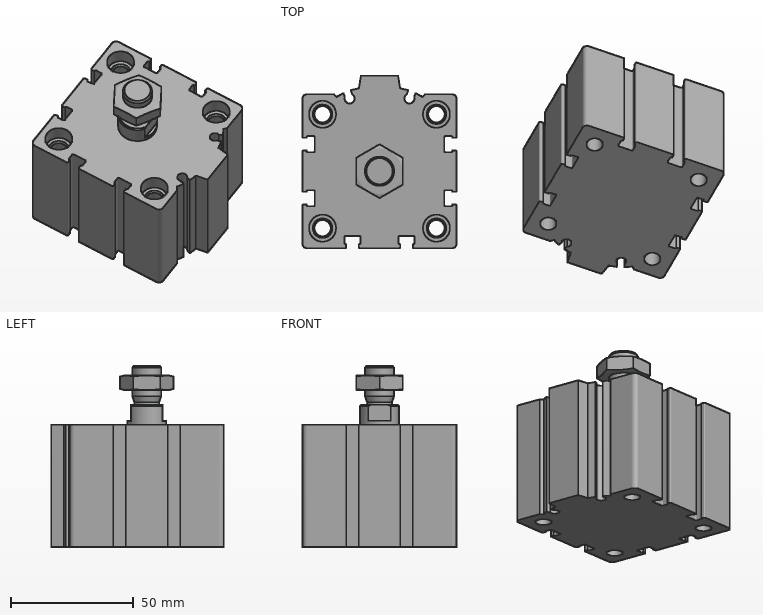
import cadquery as cq
import math

HOUSING_WIDTH = 63.0
HOUSING_HEIGHT = 50.0
CORNER_RADIUS = 2.0
HALF_WIDTH = HOUSING_WIDTH / 2

RIB_REACH = 70.5 - HALF_WIDTH
RIB_TOP_HALF = 7.6
RIB_FOOT = (8.4, 33.9)
SHELF_INNER = (11.85, 33.1)
SHELF_OUTER = (14.7, 31.9)
SHELF_END = (16.95, 30.7)
VALLEY = (17.5, 30.3)

SENSOR_CENTRE = (12.2, 29.7)
SENSOR_DIAMETER = 4.0
SENSOR_MOUTH_WIDTH = 3.1
SENSOR_MOUTH_LENGTH = 4.45
SENSOR_TILT = 20

SLOT_OFFSET = 11.0
SLOT_MOUTH_WIDTH = 5.1
SLOT_INNER_WIDTH = 6.5
SLOT_DEPTH = 5.0
SLOT_LIP = 1.8
SLOT_RADIUS = 0.45

HOLE_SPACING = 46.5
HOLE_DIAMETER = 6.65
COUNTERBORE_DIAMETER = 11.0
COUNTERBORE_DEPTH = 6.7
COUNTERSINK_DIAMETER = 8.0

ROD_DIAMETER = 16.0
ROD_SHOULDER_HEIGHT = 8.0
ROD_CHAMFER = 0.5
ROD_TOP = 74 - HOUSING_HEIGHT
FLAT_SPACING = 13.0
FLAT_START = 1.5
NECK_DIAMETER = 10.2
NECK_FILLET = 0.5
NECK_LENGTH = 0.6
RUNOUT_HEIGHT = 2.5
THREAD_DIAMETER = 12.0
THREAD_END_DIAMETER = 10.65
THREAD_CHAMFER_HEIGHT = 0.9

NUT_ACROSS_FLATS = 19.0
NUT_HEIGHT = 6.0
NUT_BASE = 64.1
NUT_FACE_DIAMETER = 18.5
NUT_CHAMFER_ANGLE = 15


def housing_blank():
    top_right = [
        (RIB_TOP_HALF, RIB_REACH),
        RIB_FOOT,
        SHELF_INNER,
        SHELF_OUTER,
        SHELF_END,
        VALLEY,
        (VALLEY[0] + HALF_WIDTH - VALLEY[1], HALF_WIDTH),
        (HALF_WIDTH, HALF_WIDTH),
        (HALF_WIDTH, -HALF_WIDTH),
    ]
    top_left = [(-x, y) for x, y in reversed(top_right)]
    blank = cq.Workplane("XY").polyline(top_right + top_left).close().extrude(HOUSING_HEIGHT)
    return blank.edges("|Z and (>X or <X)").fillet(CORNER_RADIUS)


def sensor_slot():
    circle = cq.Workplane("XY").circle(SENSOR_DIAMETER / 2).extrude(HOUSING_HEIGHT)
    mouth = cq.Workplane("XY").rect(SENSOR_MOUTH_WIDTH, SENSOR_MOUTH_LENGTH).extrude(HOUSING_HEIGHT)
    slot = circle.union(mouth.translate((0, SENSOR_MOUTH_LENGTH / 2, 0)))
    return slot.rotate((0, 0, 0), (0, 0, 1), -SENSOR_TILT).translate((*SENSOR_CENTRE, 0))


def t_slot():
    mouth = SLOT_MOUTH_WIDTH / 2
    inner = SLOT_INNER_WIDTH / 2
    half_section = (
        cq.Workplane("XY")
        .lineTo(mouth + SLOT_RADIUS, 0)
        .radiusArc((mouth, SLOT_RADIUS), SLOT_RADIUS)
        .lineTo(mouth, SLOT_LIP)
        .lineTo(inner - SLOT_RADIUS, SLOT_LIP)
        .radiusArc((inner, SLOT_LIP + SLOT_RADIUS), -SLOT_RADIUS)
        .lineTo(inner, SLOT_DEPTH - SLOT_RADIUS)
        .radiusArc((inner - SLOT_RADIUS, SLOT_DEPTH), -SLOT_RADIUS)
        .lineTo(0, SLOT_DEPTH)
    )
    cutter = half_section.mirrorY().extrude(HOUSING_HEIGHT)
    return cutter.translate((0, -HALF_WIDTH, 0))


def mounting_hole():
    floor = HOUSING_HEIGHT - COUNTERBORE_DEPTH
    countersink = (COUNTERSINK_DIAMETER - HOLE_DIAMETER) / 2
    profile = [
        (0, 0),
        (HOLE_DIAMETER / 2, 0),
        (HOLE_DIAMETER / 2, floor - countersink),
        (COUNTERSINK_DIAMETER / 2, floor),
        (COUNTERBORE_DIAMETER / 2, floor),
        (COUNTERBORE_DIAMETER / 2, HOUSING_HEIGHT),
        (0, HOUSING_HEIGHT),
    ]
    return cq.Workplane("XZ").polyline(profile).close().revolve(360, (0, 0), (0, 1))


def make_housing():
    body = housing_blank()
    slot = sensor_slot()
    body = body.cut(slot).cut(slot.mirror("YZ"))
    for side_angle in (-90, 0, 90):
        for offset in (-SLOT_OFFSET, SLOT_OFFSET):
            cutter = t_slot().translate((offset, 0, 0))
            body = body.cut(cutter.rotate((0, 0, 0), (0, 0, 1), side_angle))
    for x in (-HOLE_SPACING / 2, HOLE_SPACING / 2):
        for y in (-HOLE_SPACING / 2, HOLE_SPACING / 2):
            body = body.cut(mounting_hole().translate((x, y, 0)))
    return body


def make_rod():
    rod_radius = ROD_DIAMETER / 2
    neck_radius = NECK_DIAMETER / 2
    thread_radius = THREAD_DIAMETER / 2
    neck_start = ROD_SHOULDER_HEIGHT + NECK_FILLET
    neck_end = neck_start + NECK_LENGTH

    section = (
        cq.Workplane("XZ")
        .lineTo(rod_radius, 0)
        .lineTo(rod_radius, ROD_SHOULDER_HEIGHT - ROD_CHAMFER)
        .lineTo(rod_radius - ROD_CHAMFER, ROD_SHOULDER_HEIGHT)
        .lineTo(neck_radius + NECK_FILLET, ROD_SHOULDER_HEIGHT)
        .radiusArc((neck_radius, neck_start), NECK_FILLET)
        .lineTo(neck_radius, neck_end)
        .lineTo(thread_radius, neck_end + RUNOUT_HEIGHT)
        .lineTo(thread_radius, ROD_TOP - THREAD_CHAMFER_HEIGHT)
        .lineTo(THREAD_END_DIAMETER / 2, ROD_TOP)
        .lineTo(0, ROD_TOP)
        .close()
    )
    rod = section.revolve(360, (0, 0), (0, 1))

    flat_height = ROD_SHOULDER_HEIGHT - FLAT_START
    flat_cut = cq.Workplane("XY").box(ROD_DIAMETER, ROD_DIAMETER, flat_height)
    for side in (-1, 1):
        y = side * (FLAT_SPACING + ROD_DIAMETER) / 2
        rod = rod.cut(flat_cut.translate((0, y, FLAT_START + flat_height / 2)))
    return rod.translate((0, 0, HOUSING_HEIGHT))


def make_nut():
    across_corners = NUT_ACROSS_FLATS / math.cos(math.radians(30))
    hexagon = cq.Workplane("XY").polygon(6, across_corners).extrude(NUT_HEIGHT)
    hexagon = hexagon.rotate((0, 0, 0), (0, 0, 1), 30)

    drop = (across_corners - NUT_FACE_DIAMETER) / 2 * math.tan(math.radians(NUT_CHAMFER_ANGLE))
    envelope = [
        (0, 0),
        (NUT_FACE_DIAMETER / 2, 0),
        (across_corners / 2, drop),
        (across_corners / 2, NUT_HEIGHT - drop),
        (NUT_FACE_DIAMETER / 2, NUT_HEIGHT),
        (0, NUT_HEIGHT),
    ]
    cones = cq.Workplane("XZ").polyline(envelope).close().revolve(360, (0, 0), (0, 1))
    bore = cq.Workplane("XY").circle(THREAD_DIAMETER / 2).extrude(NUT_HEIGHT)
    return hexagon.intersect(cones).cut(bore).translate((0, 0, NUT_BASE))


housing = make_housing()
rod = make_rod()
nut = make_nut()

result = cq.Compound.makeCompound([housing.val(), rod.val(), nut.val()])